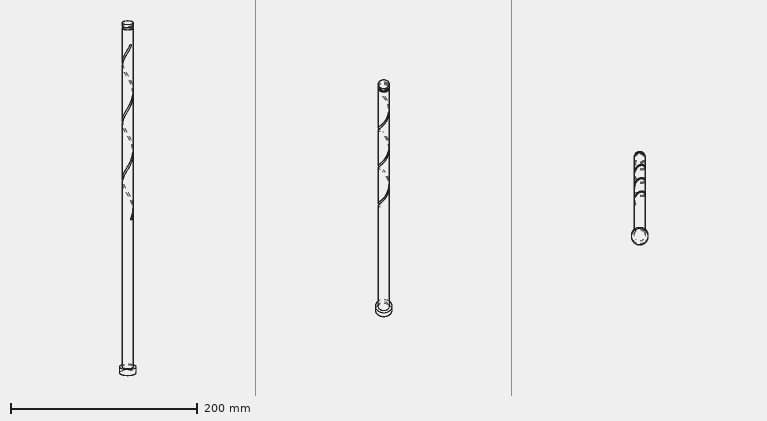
import cadquery as cq
import math

total_length = 400.0
shaft_diameter = 12.0
head_diameter = 18.0
head_height = 7.0

ring_groove_width = 2.5
ring_groove_depth = 1.25
ring_groove_end_distance = 4.0

helix_length = 200.0
helix_turns = 3
helix_top_distance = 23.5
helix_groove_diameter = 2.0

shaft_radius = shaft_diameter / 2
helix_pitch = helix_length / helix_turns
helix_start_height = total_length - helix_top_distance - helix_length


def make_headed_pin():
    head = cq.Workplane("XY").circle(head_diameter / 2).extrude(head_height)
    shaft = cq.Workplane("XY").circle(shaft_radius).extrude(total_length)
    return head.union(shaft).rotate((0, 0, 0), (0, 0, 1), 180)


def make_ring_groove_cutter():
    groove_bottom = total_length - ring_groove_end_distance - ring_groove_width
    return (
        cq.Workplane("XY", origin=(0, 0, groove_bottom))
        .circle(head_diameter / 2)
        .circle(shaft_radius - ring_groove_depth)
        .extrude(ring_groove_width)
    )


def make_helical_groove_cutter():
    """Sweep a circle, centred on the shaft surface, up a helix starting on +X."""
    helix = cq.Wire.makeHelix(helix_pitch, helix_length, shaft_radius)
    start_plane = cq.Plane(
        origin=(shaft_radius, 0, 0),
        xDir=(1, 0, 0),
        normal=(0, math.pi * shaft_diameter, helix_pitch),
    )
    return (
        cq.Workplane(start_plane)
        .circle(helix_groove_diameter / 2)
        .sweep(cq.Workplane(obj=helix), isFrenet=True)
        .translate((0, 0, helix_start_height))
    )


result = make_headed_pin().cut(make_ring_groove_cutter()).cut(make_helical_groove_cutter())